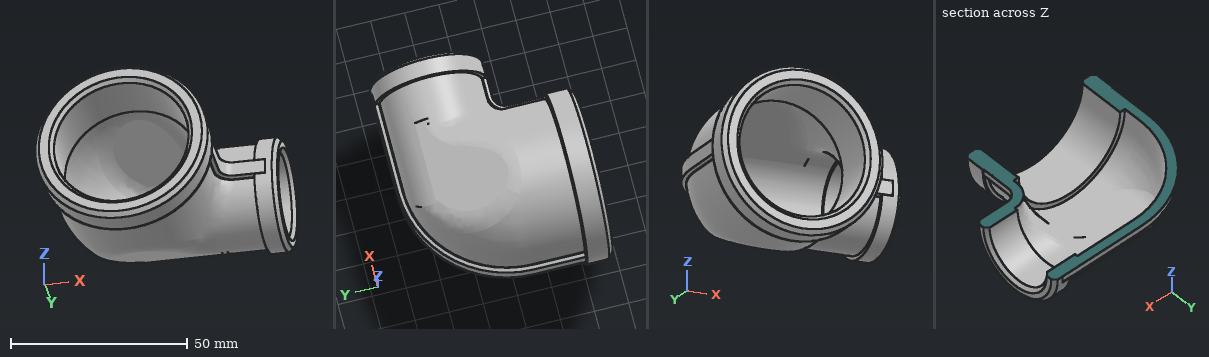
import cadquery as cq
import math


WALL = 2.15

LARGE_CAVITY_DIAMETER = 42.6
LARGE_BORE_DIAMETER = 38.95
LARGE_BORE_DEPTH = 17.0
LARGE_COLLAR_DIAMETER = 50.0
LARGE_COLLAR_LENGTH = 8.1
LARGE_COLLAR_CHAMFER = 1.4
COLLAR_BACK_CHAMFER = 0.3
LARGE_PORT_Y = -38.49

SMALL_BODY_RADIUS = 15.2
SMALL_BORE_DIAMETER = 24.12
SMALL_BORE_DEPTH = 12.0
SMALL_COLLAR_DIAMETER = 33.0
SMALL_COLLAR_LENGTH = 6.4
SMALL_COLLAR_CHAMFER = 1.3
SMALL_PORT_X = 40.6

MOUTH_CHAMFER = 1.25

FLAT_ANGLE = 24.0
FLAT_SINK = 0.08
FLAT_EDGE_RADIUS = 8.8
THROAT_RADIUS = 5.0

RIB_TOP_WIDTH = 4.4
RIB_ROOT_WIDTH = 5.3

LARGE_BODY_RADIUS = LARGE_CAVITY_DIAMETER / 2 + WALL
SMALL_COLLAR_RADIUS = SMALL_COLLAR_DIAMETER / 2
LARGE_COLLAR_BACK_Y = LARGE_PORT_Y + LARGE_COLLAR_LENGTH
SMALL_COLLAR_BACK_X = SMALL_PORT_X - SMALL_COLLAR_LENGTH

BEND_Y = -SMALL_BODY_RADIUS
BEND_X = 2 * SMALL_BODY_RADIUS - LARGE_BODY_RADIUS
RIB_HEIGHT = SMALL_COLLAR_RADIUS - SMALL_BODY_RADIUS

REACH = 60.0
OVERLAP = 1.0
TOLERANCE = 1e-3


def block(x_range, y_range, z_range):
    """Box given by its limits along each axis."""
    sizes = [high - low for low, high in (x_range, y_range, z_range)]
    corner = (x_range[0], y_range[0], z_range[0])
    return cq.Workplane().box(*sizes, centered=False).translate(corner)


def cylinder_y(radius, y_start, y_end):
    """Cylinder about the large port axis."""
    return cq.Workplane("XZ", origin=(0, y_start, 0)).circle(radius).extrude(y_start - y_end)


def cylinder_x(radius, x_start, x_end):
    """Cylinder about the small port axis."""
    return cq.Workplane("YZ", origin=(x_start, 0, 0)).circle(radius).extrude(x_end - x_start)


def upper_half(body):
    """Part of the body above the symmetry plane."""
    return body.intersect(block((-REACH, REACH), (-REACH, REACH), (0, REACH)))


def wedge(small_radius, rounded):
    """Upper half of a prism along X under the flat, rounded to the small pipe or left straight."""
    slope = math.radians(FLAT_ANGLE)
    distance = small_radius - FLAT_SINK

    def flat_z(y):
        return (distance - y * math.sin(slope)) / math.cos(slope)

    profile = cq.Workplane("YZ", origin=(-REACH, 0, 0)).moveTo(-REACH, 0).lineTo(-REACH, flat_z(-REACH))
    if rounded:
        meeting_angle = slope + math.acos(distance / small_radius)
        meeting_y = small_radius * math.sin(meeting_angle)
        half_angle = (math.pi / 2 + meeting_angle) / 2
        arc_middle = (small_radius * math.sin(half_angle), small_radius * math.cos(half_angle))
        profile = profile.lineTo(meeting_y, flat_z(meeting_y)).threePointArc(arc_middle, (small_radius, 0))
    else:
        crest_y = small_radius + FLAT_EDGE_RADIUS
        profile = profile.lineTo(crest_y, flat_z(crest_y)).lineTo(crest_y, 0)
    return profile.close().extrude(2 * REACH)


def round_flat_edge(body, small_radius, radius, x_limit):
    """Round the curved edges of the flat whose middle lies left of x_limit."""
    slope = math.radians(FLAT_ANGLE)
    distance = small_radius - FLAT_SINK

    def on_flat(point):
        return abs(point.y * math.sin(slope) + point.z * math.cos(slope) - distance) < TOLERANCE

    edges = [
        edge
        for edge in body.edges().vals()
        if edge.geomType() != "LINE"
        and edge.positionAt(0.5).x < x_limit
        and all(on_flat(edge.positionAt(t)) for t in (0, 0.5, 1))
    ]
    return cq.Workplane(body.val().fillet(radius, edges))


def bend_envelope(large_radius, small_radius):
    """Large pipe circle turned a quarter about the bend axis, then carried on along +X."""
    half_height = math.sqrt(large_radius**2 - BEND_X**2)
    turned = (
        cq.Workplane("XZ", origin=(0, BEND_Y, 0))
        .moveTo(BEND_X, -half_height)
        .threePointArc((-large_radius, 0), (BEND_X, half_height))
        .close()
        .revolve(90, (BEND_X, 1, 0), (BEND_X, 0, 0))
    )
    straight = (
        cq.Workplane("YZ", origin=(BEND_X, 0, 0))
        .center(small_radius - large_radius, 0)
        .circle(large_radius)
        .extrude(REACH)
        .intersect(block((0, 2 * REACH), (BEND_Y, REACH), (-REACH, REACH)))
    )
    return turned, straight


def dome_side(large_radius, small_radius, edge_radius):
    """Upper half of the large pipe with its dome and rounded flat."""
    turned, straight = bend_envelope(large_radius, small_radius)
    trim = block((-REACH, REACH), (BEND_Y, REACH), (-REACH, REACH)).cut(turned).cut(straight)
    pipe = cylinder_y(large_radius, LARGE_PORT_Y + OVERLAP, SMALL_BODY_RADIUS + THROAT_RADIUS)
    body = upper_half(pipe.intersect(wedge(small_radius, False)).cut(trim))
    return round_flat_edge(body, small_radius, edge_radius, 0)


def throat_side(large_radius, small_radius, edge_radius, throat_radius):
    """Upper half of the crossing pipes with the throat fillet and rounded flat."""
    large_pipe = cylinder_y(large_radius, LARGE_PORT_Y + OVERLAP, REACH)
    pipes = large_pipe.union(cylinder_x(small_radius, 0, REACH))
    crossing = [edge for edge in pipes.edges().vals() if edge.geomType() == "BSPLINE"]
    pipes = cq.Workplane(pipes.val().fillet(throat_radius, crossing))
    body = upper_half(pipes.intersect(wedge(small_radius, True)))
    body = body.intersect(block((-large_radius / 2, SMALL_PORT_X), (-REACH, REACH), (0, REACH)))
    return round_flat_edge(body, small_radius, edge_radius, REACH)


def elbow_half(inset):
    """Upper half of a solid elbow whose faces lie the given inset inside the outer body."""
    large_radius = LARGE_BODY_RADIUS - inset
    small_radius = SMALL_BODY_RADIUS - inset
    edge_radius = FLAT_EDGE_RADIUS - inset
    left = block((-REACH, BEND_X), (-REACH, REACH), (0, REACH))
    right = block((BEND_X, REACH), (-REACH, REACH), (0, REACH))
    dome = dome_side(large_radius, small_radius, edge_radius).intersect(wedge(small_radius, True)).intersect(left)
    throat = throat_side(large_radius, small_radius, edge_radius, THROAT_RADIUS + inset).intersect(right)
    half = dome.union(throat)
    small_pipe = upper_half(cylinder_x(small_radius, large_radius - OVERLAP, SMALL_PORT_X - OVERLAP))
    return half.union(small_pipe)


def rib_half():
    """Upper half of a flat band standing proud of the body in the symmetry plane, its sides drafted."""
    outer_x = LARGE_BODY_RADIUS + RIB_HEIGHT
    far_y = SMALL_BODY_RADIUS + RIB_HEIGHT
    bend_radius = BEND_X + outer_x
    throat_radius = THROAT_RADIUS - RIB_HEIGHT
    start_y = (LARGE_PORT_Y + LARGE_COLLAR_BACK_Y) / 2
    end_x = (SMALL_PORT_X + SMALL_COLLAR_BACK_X) / 2
    diagonal = math.sqrt(0.5)
    throat_x = outer_x + throat_radius
    throat_y = -far_y - throat_radius
    bend_middle = (BEND_X - bend_radius * diagonal, BEND_Y + bend_radius * diagonal)
    throat_middle = (throat_x - throat_radius * diagonal, throat_y + throat_radius * diagonal)
    outline = (
        cq.Workplane("XY")
        .moveTo(-outer_x, start_y)
        .lineTo(-outer_x, BEND_Y)
        .threePointArc(bend_middle, (BEND_X, BEND_Y + bend_radius))
        .lineTo(end_x, far_y)
        .lineTo(end_x, -far_y)
        .lineTo(throat_x, -far_y)
        .threePointArc(throat_middle, (outer_x, throat_y))
        .lineTo(outer_x, start_y)
        .close()
    )
    core = outline.extrude(RIB_TOP_WIDTH / 2)
    side_rise = (RIB_ROOT_WIDTH - RIB_TOP_WIDTH) / 2
    draft = math.degrees(math.atan2(RIB_HEIGHT, side_rise))
    side = core.faces(">Z").wires().toPending().workplane().extrude(side_rise, taper=draft)
    return core.union(side)


def large_collar():
    """Collar around the large port."""
    collar = cylinder_y(LARGE_COLLAR_DIAMETER / 2, LARGE_PORT_Y, LARGE_COLLAR_BACK_Y)
    return collar.faces("<Y").chamfer(LARGE_COLLAR_CHAMFER).faces(">Y").chamfer(COLLAR_BACK_CHAMFER)


def small_collar():
    """Collar around the small port."""
    collar = cylinder_x(SMALL_COLLAR_RADIUS, SMALL_COLLAR_BACK_X, SMALL_PORT_X)
    return collar.faces(">X").chamfer(SMALL_COLLAR_CHAMFER)


def drill(body):
    """Cut the inner chamber, the two narrower bores and their mouth chamfers."""
    bore_end_y = LARGE_PORT_Y + LARGE_BORE_DEPTH
    bore_end_x = SMALL_PORT_X - SMALL_BORE_DEPTH
    chamber = elbow_half(WALL).intersect(block((-REACH, bore_end_x), (bore_end_y, REACH), (-REACH, REACH)))
    large_radius = LARGE_BORE_DIAMETER / 2
    small_radius = SMALL_BORE_DIAMETER / 2
    large_bore = cylinder_y(large_radius, LARGE_PORT_Y, bore_end_y)
    small_bore = cylinder_x(small_radius, bore_end_x, SMALL_PORT_X)
    large_mouth = cylinder_y(large_radius + MOUTH_CHAMFER, LARGE_PORT_Y, LARGE_PORT_Y + MOUTH_CHAMFER)
    large_mouth = large_mouth.faces(">Y").chamfer(MOUTH_CHAMFER - TOLERANCE)
    small_mouth = cylinder_x(small_radius + MOUTH_CHAMFER, SMALL_PORT_X - MOUTH_CHAMFER, SMALL_PORT_X)
    small_mouth = small_mouth.faces("<X").chamfer(MOUTH_CHAMFER - TOLERANCE)
    for hollow in (chamber, large_bore, small_bore, large_mouth, small_mouth):
        body = body.cut(hollow)
    return body


solid_half = elbow_half(0).union(rib_half())
for collar in (large_collar(), small_collar()):
    solid_half = solid_half.union(upper_half(collar))
half = drill(solid_half)
result = half.union(half.mirror("XY"))